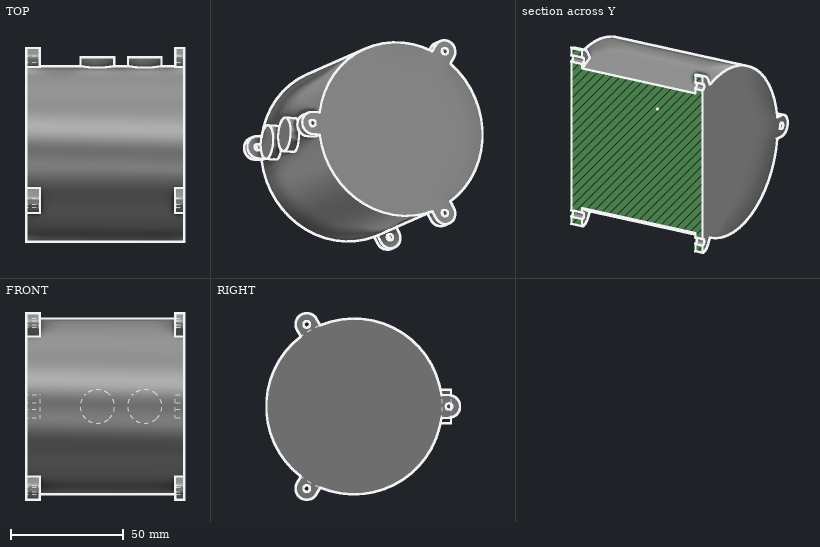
import cadquery as cq

body_diameter = 78.0
body_length = 70.0

ear_count = 3
ear_pitch_radius = 42.0
ear_width = 10.0
ear_hole_diameter = 2.85
first_end_ear_thickness = 6.0
second_end_ear_thickness = 4.0

boss_diameter = 15.0
boss_top_y = 43.0
boss_spacing = 21.0
first_boss_x = 31.5
boss_positions_x = (first_boss_x, first_boss_x + boss_spacing)


def make_body():
    return cq.Workplane("YZ").circle(body_diameter / 2).extrude(body_length)


def make_ear(start_x, thickness):
    """Round-ended ear pointing along +Y, rooted at the body axis, with its screw hole."""
    half_width = ear_width / 2
    return (
        cq.Workplane("YZ", origin=(start_x, 0, 0))
        .moveTo(0, -half_width)
        .lineTo(ear_pitch_radius, -half_width)
        .threePointArc(
            (ear_pitch_radius + half_width, 0),
            (ear_pitch_radius, half_width),
        )
        .lineTo(0, half_width)
        .close()
        .extrude(thickness)
        .cut(make_ear_hole(start_x, thickness))
    )


def make_ear_hole(start_x, thickness):
    return (
        cq.Workplane("YZ", origin=(start_x, 0, 0))
        .center(ear_pitch_radius, 0)
        .circle(ear_hole_diameter / 2)
        .extrude(thickness)
    )


def make_ear_ring(start_x, thickness):
    """Ears at equal angles around the X axis, the first one on +Y."""
    ear = make_ear(start_x, thickness)
    ring = ear
    for index in range(1, ear_count):
        angle = index * 360 / ear_count
        ring = ring.union(ear.rotate((0, 0, 0), (1, 0, 0), angle))
    return ring


def make_boss(x):
    """Boss rising from the body axis to its flat top, so it blends fully into the body."""
    boss = cq.Workplane("XY").circle(boss_diameter / 2).extrude(boss_top_y)
    return boss.rotate((0, 0, 0), (1, 0, 0), -90).translate((x, 0, 0))


result = make_body()
result = result.union(make_ear_ring(0, first_end_ear_thickness))
result = result.union(
    make_ear_ring(body_length - second_end_ear_thickness, second_end_ear_thickness)
)
for boss_x in boss_positions_x:
    result = result.union(make_boss(boss_x))